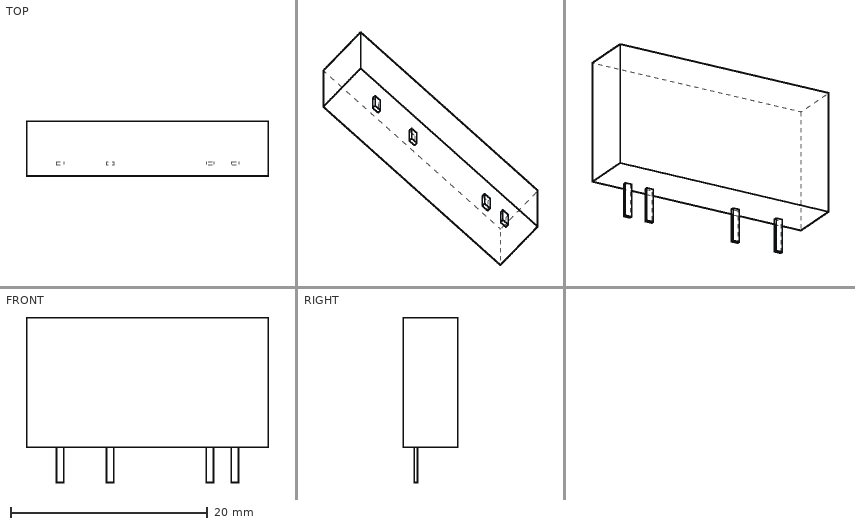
import cadquery as cq

HOUSING_LENGTH = 24.63
HOUSING_DEPTH = 5.58
HOUSING_HEIGHT = 13.2

PIN_PITCH = 2.54
PIN_GRID_SLOTS = [0, 2, 6, 7]
PIN_WIDTH = 0.75
PIN_THICKNESS = 0.35
PIN_LENGTH = 3.6
PIN_ROW_FROM_FRONT = 1.3

first_pin_x = -PIN_GRID_SLOTS[-1] * PIN_PITCH / 2
pin_row_y = -HOUSING_DEPTH / 2 + PIN_ROW_FROM_FRONT


def make_housing():
    """Rectangular block standing on the Z = 0 plane."""
    return cq.Workplane("XY").box(
        HOUSING_LENGTH, HOUSING_DEPTH, HOUSING_HEIGHT, centered=(True, True, False)
    )


def make_pin(slot):
    """Flat pin hanging from the housing underside at the given grid slot."""
    pin_x = first_pin_x + slot * PIN_PITCH
    return (
        cq.Workplane("XY")
        .center(pin_x, pin_row_y)
        .rect(PIN_WIDTH, PIN_THICKNESS)
        .extrude(-PIN_LENGTH)
    )


housing = make_housing()
pins = [make_pin(slot) for slot in PIN_GRID_SLOTS]

result = cq.Compound.makeCompound([housing.val(), *[pin.val() for pin in pins]])